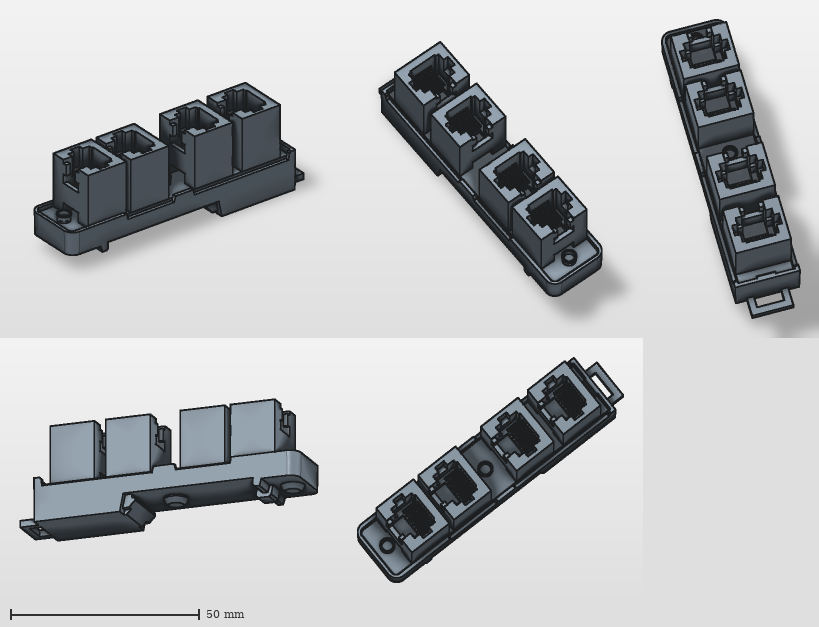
import cadquery as cq
import math

total_length = 80.1
total_width = 17.95
total_height = 26.6

housing_back = 74.9
post_height = 12.2
rim_height = 11.5
low_rim_height = 9.8
deck_height = 5.0
front_deck_height = 4.5
draft_angle = 1.0
corner_radius = 3.0
slope_run = 0.5

front_rim_end = 18.75
middle_rim_start = 35.0
middle_rim_end = 40.9
post_foot = 72.7
post_lean = 0.25
post_bevel = 0.5
block_front = 50.6
block_lean = 1.05

rib_front = 10.2
rib_back = 12.6
rib_bottom = 2.6
rib_chamfer = 0.5
rib_lean = 0.6

board_top = 10.5
board_thickness = 1.2
board_width = 15.2
board_gap = 0.25
recess_front = 1.0
recess_back = 74.0
recess_radius = 1.45

jack_fronts = (6.8, 21.1, 42.3, 58.2)
jack_width = 15.3
jack_length = 12.7
latch_width = 6.6
latch_sill = 19.5
latch_floor = 14.4
lip_thickness = 1.4
lip_opening = 4.1
lip_bottom = 22.2
lip_top = 25.5
latch_depth = 5.7
cavity_floor = 16.0
cavity_width = 10.0
cavity_front = 3.0
shelf_length = 0.9
shelf_height = 20.5
cavity_back = 9.9
recess_width = 8.1
recess_depth = 10.4
contact_span = 7.1
contact_count = 8
groove_front = 6.2
groove_width = 0.52
groove_floor = 11.6
wire_top = 21.95
side_slot_width = 0.4
side_slot_place = 4.1
pocket_width = 13.0
pocket_front = 4.8
pocket_back = 7.8
foot_notch_top = 13.4
foot_notch_depth = 4.0

fastener_places = (4.6, 37.8)
head_bottom = 3.0
head_radius = 3.3
head_flat_radius = 2.1
head_bulge_radius = 2.9
head_bulge_height = 3.6
stub_radius = 1.85
stub_top = 12.5
stub_lip_radius = 2.0
stub_lip_height = 0.25
stub_bore_radius = 1.5
stub_bore_depth = 1.6

catch_width = 14.8
catch_notch_width = 1.7
catch_notch_height = 1.4
catch_inner_end = 52.1
catch_foot = 49.8
catch_tip = 46.65
catch_tip_bottom = 3.2
catch_tip_top = 3.7
catch_neck = 47.7
catch_neck_bottom = 4.2
hook_width = 5.1
hook_front = 9.1
hook_front_lean = 0.65
hook_front_bevel = 0.65
hook_back = 14.0
hook_bottom = 1.4
hook_top = 3.8
hook_bevel = 0.5
loop_width = 11.4
loop_height = 1.85
loop_opening_width = 7.5
loop_bar = 2.0
snap_width = 5.1
snap_tip = 72.8
snap_lean = 0.8
overlap = 0.8


def centred_box(width, y_start, y_end, z_start, z_end):
    """Box centred on X between the given Y and Z limits."""
    return cq.Workplane("XY").box(
        width, y_end - y_start, z_end - z_start, centered=(True, False, False)
    ).translate((0, y_start, z_start))


def side_profile(points, width):
    """Closed (y, z) outline extruded symmetrically across X."""
    return cq.Workplane("YZ").polyline(points).close().extrude(width / 2, both=True)


def make_housing():
    past_front = -0.8
    rim = [
        (past_front, rim_height),
        (front_rim_end, rim_height),
        (front_rim_end + slope_run, low_rim_height),
        (middle_rim_start - slope_run, low_rim_height),
        (middle_rim_start, rim_height),
        (middle_rim_end, rim_height),
        (middle_rim_end + slope_run, low_rim_height),
        (post_foot, low_rim_height),
        (post_foot + post_lean, post_height - post_bevel),
        (post_foot + post_lean + post_bevel, post_height),
        (housing_back, post_height),
    ]
    underside = [
        (housing_back, 0),
        (block_front, 0),
        (block_front - block_lean, deck_height),
        (rib_back, deck_height),
        (rib_back, rib_bottom + rib_chamfer),
        (rib_back - rib_chamfer, rib_bottom),
        (rib_front + rib_lean, rib_bottom),
        (rib_front, front_deck_height),
        (past_front, front_deck_height),
    ]
    outline = side_profile(rim + underside, total_width)
    front = -(post_height - rim_height) * math.tan(math.radians(draft_angle))
    plan_length = total_length - front
    drafted = (
        cq.Workplane("XY", origin=(0, front + plan_length / 2, post_height))
        .sketch()
        .rect(total_width, plan_length)
        .vertices()
        .fillet(corner_radius)
        .finalize()
        .extrude(-post_height, taper=draft_angle)
    )
    recess = centred_box(
        board_width + 2 * board_gap, recess_front, recess_back, board_top - board_thickness, total_height
    ).edges("|Z and <Y").fillet(recess_radius)
    return outline.intersect(drafted).cut(recess)


def make_board():
    return centred_box(
        board_width, recess_front + board_gap, recess_back - board_gap, board_top - board_thickness, board_top
    ).edges("|Z and <Y").fillet(recess_radius - board_gap)


def make_jack():
    """One modular jack with its front face on Y = 0."""
    jack = centred_box(jack_width, 0, jack_length, board_top, total_height)
    shelf_end = cavity_front + shelf_length
    openings = [
        centred_box(latch_width, 0, lip_thickness, latch_sill, lip_bottom),
        centred_box(lip_opening, 0, lip_thickness, lip_bottom, lip_top),
        centred_box(latch_width, 0, lip_thickness, lip_top, total_height),
        centred_box(latch_width, lip_thickness, latch_depth, latch_floor, total_height),
        centred_box(cavity_width, cavity_front, shelf_end, shelf_height, total_height),
        centred_box(cavity_width, shelf_end, cavity_back, cavity_floor, total_height),
        centred_box(pocket_width, pocket_front, pocket_back, shelf_height, total_height),
        centred_box(recess_width, cavity_back, recess_depth, cavity_floor, total_height),
        centred_box(latch_width, 0, foot_notch_depth, board_top, foot_notch_top),
    ]
    for opening in openings:
        jack = jack.cut(opening)
    groove = centred_box(groove_width, groove_front, recess_depth, groove_floor, cavity_floor)
    wire = side_profile(
        [(groove_front, groove_floor), (recess_depth, groove_floor), (recess_depth, wire_top)], groove_width
    )
    contact_pitch = contact_span / (contact_count - 1)
    for i in range(contact_count):
        x = i * contact_pitch - contact_span / 2
        jack = jack.cut(groove.translate((x, 0, 0)))
        is_outer = i in (0, contact_count - 1)
        if not is_outer:
            jack = jack.union(wire.translate((x, 0, 0)))
    side_slot = centred_box(side_slot_width, groove_front, cavity_back, groove_floor, cavity_floor)
    for side in (-1, 1):
        jack = jack.cut(side_slot.translate((side * side_slot_place, 0, 0)))
    return jack


def make_fastener():
    """Pan head under the housing and hollow stub above the board, on the Z axis."""
    head = (
        cq.Workplane("XZ")
        .moveTo(0, head_bottom)
        .lineTo(head_flat_radius, head_bottom)
        .threePointArc((head_bulge_radius, head_bulge_height), (head_radius, front_deck_height))
        .lineTo(head_radius, deck_height)
        .lineTo(0, deck_height)
        .close()
        .revolve(360, (0, 0, 0), (0, 1, 0))
    )
    stub = (
        cq.Workplane("XY", origin=(0, 0, board_top))
        .circle(stub_radius)
        .extrude(stub_top - board_top)
        .faces(">Z")
        .workplane()
        .circle(stub_lip_radius)
        .extrude(-stub_lip_height)
        .faces(">Z")
        .workplane()
        .hole(2 * stub_bore_radius, stub_bore_depth)
    )
    return head, stub


def make_catch():
    """Wide rail catch under the housing with its lower corners notched away."""
    catch = side_profile(
        [
            (catch_inner_end, 0),
            (catch_foot, 0),
            (catch_tip, catch_tip_bottom),
            (catch_tip, catch_tip_top),
            (catch_neck, catch_neck_bottom),
            (catch_neck, deck_height + overlap),
            (catch_inner_end, deck_height + overlap),
        ],
        catch_width,
    )
    notch = centred_box(catch_notch_width, 0, catch_inner_end, 0, catch_notch_height)
    notch_place = (catch_width - catch_notch_width) / 2
    for side in (-1, 1):
        catch = catch.cut(notch.translate((side * notch_place, 0, 0)))
    return catch


def make_hook():
    """Narrow rail hook under the front end."""
    return side_profile(
        [
            (hook_front, deck_height),
            (hook_front + hook_front_lean, hook_bottom + hook_front_bevel),
            (hook_front + hook_front_lean + hook_front_bevel, hook_bottom),
            (hook_back - hook_bevel, hook_bottom),
            (hook_back, hook_bottom + hook_bevel),
            (hook_back, hook_top - hook_bevel),
            (hook_back - hook_bevel, hook_top),
            (rib_back, hook_top),
            (rib_back, deck_height),
        ],
        hook_width,
    )


def make_latch_loop():
    loop = centred_box(loop_width, housing_back - overlap, total_length, 0, loop_height)
    opening = centred_box(loop_opening_width, housing_back, total_length - loop_bar, 0, loop_height)
    return loop.cut(opening)


def make_snap():
    """Snap tab on the back wall that holds the board down."""
    return side_profile(
        [
            (recess_back, board_top),
            (snap_tip, board_top),
            (snap_tip + snap_lean, post_height),
            (recess_back, post_height),
        ],
        snap_width,
    )


result = make_housing().union(make_board())
for part in (make_catch(), make_hook(), make_latch_loop(), make_snap()):
    result = result.union(part)

jack = make_jack()
for jack_front in jack_fronts:
    result = result.union(jack.translate((0, jack_front, 0)))

head, stub = make_fastener()
for fastener_y in fastener_places:
    result = result.union(head.translate((0, fastener_y, 0)))
    result = result.union(stub.translate((0, fastener_y, 0)))